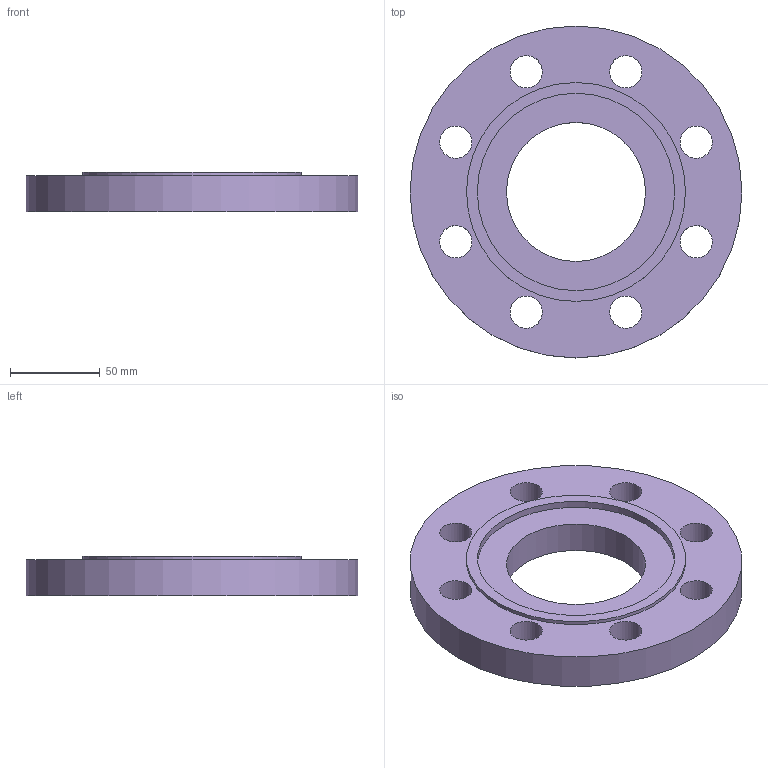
import cadquery as cq

flange_diameter = 185.0
total_height = 22.0
raised_face_height = 2.0
plate_thickness = total_height - raised_face_height

raised_face_diameter = 122.0
recess_diameter = 110.0
recess_depth = 4.0
bore_diameter = 77.5

bolt_count = 8
bolt_circle_diameter = 145.0
bolt_hole_diameter = 18.0
bolt_pitch_angle = 360.0 / bolt_count


def disc(diameter, base_z, height):
    """Solid cylinder on the Z axis, rising from base_z."""
    return cq.Workplane("XY").workplane(offset=base_z).circle(diameter / 2).extrude(height)


def flange_body():
    """Round plate carrying the raised face on its upper side."""
    plate = disc(flange_diameter, 0, plate_thickness)
    raised_face = disc(raised_face_diameter, plate_thickness, raised_face_height)
    return plate.union(raised_face)


def bolt_holes():
    """Through holes evenly spaced on the bolt circle."""
    return (
        cq.Workplane("XY")
        .polarArray(bolt_circle_diameter / 2, bolt_pitch_angle / 2, 360, bolt_count)
        .circle(bolt_hole_diameter / 2)
        .extrude(plate_thickness)
    )


bore = disc(bore_diameter, 0, total_height)
recess = disc(recess_diameter, total_height - recess_depth, recess_depth)

result = flange_body().cut(bore).cut(recess).cut(bolt_holes())